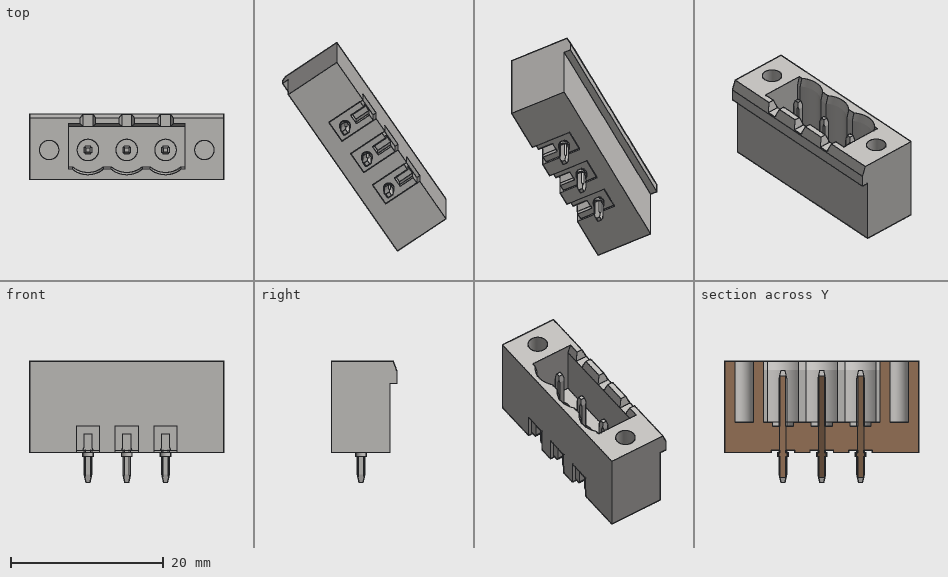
import cadquery as cq

LENGTH = 25.4
DEPTH = 7.7
HEIGHT = 12.0
PITCH = 5.08
PIN_COUNT = 3
PIN_Y = 3.89
CUT_MARGIN = 0.25

LIP_OVERHANG = 0.91
LIP_HEIGHT = 2.97
LIP_CHAMFER_Y = 0.5
LIP_CHAMFER_Z = 1.35

CAVITY_LENGTH = PIN_COUNT * PITCH
CAVITY_FLOOR_Z = 4.0
CAVITY_ENTRY_Y = 1.37
FRONT_FLARE_Y = 0.3
CAVITY_FRONT_Y = CAVITY_ENTRY_Y + FRONT_FLARE_Y
CAVITY_REAR_Y = 6.93
REAR_FLARE_Y = 0.4
FLARE_DEPTH = 1.2

SCALLOP_WIDTH = 4.06
SCALLOP_SAG = 0.74

NOTCH_TOP_WIDTH = 2.03
NOTCH_BOTTOM_WIDTH = 1.27
NOTCH_DEPTH = FLARE_DEPTH

FLOOR_RECESS_DIAMETER = 2.82
FLOOR_RECESS_DEPTH = 0.5

MOUNT_HOLE_DIAMETER = 2.55
MOUNT_HOLE_X = 2 * PITCH
MOUNT_HOLE_DEPTH = HEIGHT - CAVITY_FLOOR_Z

POCKET_WIDTH = 3.05
POCKET_HEIGHT = 3.45
POCKET_DEPTH = 0.48
RELIEF_HEIGHT = 0.3
RELIEF_BACK_Y = PIN_Y + POCKET_WIDTH / 2
SLOT_WIDTH = 1.07
SLOT_TOP_Z = 2.46
SLOT_BACK_Y = 2.55
SLOT_FLARE_WIDTH = 1.37
SLOT_FLARE_TOP_Z = 0.65

PIN_WIDTH = 1.02
PIN_CORNER_CHAMFER = 0.2
PIN_BOTTOM_Z = -3.9
PIN_TOP_Z = 10.72
PIN_TIP_WIDTH = 0.53
PIN_TAPER = 1.02
COLLAR_DIAMETER = 1.42
COLLAR_HEIGHT = 0.5

PIN_XS = [(i - (PIN_COUNT - 1) / 2) * PITCH for i in range(PIN_COUNT)]


def block(width, y_front, y_back, z_bottom, z_top, x):
    """Box between two Y and two Z levels, centred on x."""
    corner = cq.Workplane("XY", origin=(x, y_front, z_bottom))
    return corner.box(width, y_back - y_front, z_top - z_bottom, centered=(True, False, False))


def prism_along_x(yz_points, length):
    """Prism with a YZ outline, centred on X = 0."""
    return cq.Workplane("YZ").polyline(yz_points).close().extrude(length / 2, both=True)


def prism_along_y(xz_points, y_front, y_back):
    """Prism with an XZ outline between two Y positions."""
    plane = cq.Workplane("XZ", origin=(0, y_front, 0))
    return plane.polyline(xz_points).close().extrude(y_front - y_back)


def housing_body():
    lip_y = DEPTH + LIP_OVERHANG
    return prism_along_x(
        [
            (0, 0),
            (DEPTH, 0),
            (DEPTH, HEIGHT - LIP_HEIGHT),
            (lip_y, HEIGHT - LIP_HEIGHT),
            (lip_y, HEIGHT - LIP_CHAMFER_Z),
            (lip_y - LIP_CHAMFER_Y, HEIGHT),
            (0, HEIGHT),
        ],
        LENGTH,
    )


def cavity():
    """Main cavity, flared at its mouth along the front and rear walls."""
    return prism_along_x(
        [
            (CAVITY_ENTRY_Y, HEIGHT),
            (CAVITY_FRONT_Y, HEIGHT - FLARE_DEPTH),
            (CAVITY_FRONT_Y, CAVITY_FLOOR_Z),
            (CAVITY_REAR_Y, CAVITY_FLOOR_Z),
            (CAVITY_REAR_Y, HEIGHT - FLARE_DEPTH),
            (CAVITY_REAR_Y + REAR_FLARE_Y, HEIGHT),
        ],
        CAVITY_LENGTH,
    )


def scallop_outline(x, wall_y, z):
    """Circular segment standing off the front cavity wall at one level."""
    half_width = SCALLOP_WIDTH / 2
    chord = cq.Workplane("XY", origin=(x, wall_y, z)).moveTo(-half_width, 0)
    return chord.threePointArc((0, -SCALLOP_SAG), (half_width, 0)).close().val()


def scallop(x):
    """Arc hollow in the front wall: slanted through the mouth, then upright to the floor."""
    flare_z = HEIGHT - FLARE_DEPTH
    slant = cq.Vector(0, FRONT_FLARE_Y, -FLARE_DEPTH)
    drop = cq.Vector(0, 0, CAVITY_FLOOR_Z - flare_z)
    mouth = cq.Solid.extrudeLinear(scallop_outline(x, CAVITY_ENTRY_Y, HEIGHT), [], slant)
    shaft = cq.Solid.extrudeLinear(scallop_outline(x, CAVITY_FRONT_Y, flare_z), [], drop)
    return cq.Workplane(mouth).union(cq.Workplane(shaft))


def coding_notch(x):
    return prism_along_y(
        [
            (x - NOTCH_TOP_WIDTH / 2, HEIGHT),
            (x - NOTCH_BOTTOM_WIDTH / 2, HEIGHT - NOTCH_DEPTH),
            (x + NOTCH_BOTTOM_WIDTH / 2, HEIGHT - NOTCH_DEPTH),
            (x + NOTCH_TOP_WIDTH / 2, HEIGHT),
        ],
        CAVITY_REAR_Y,
        DEPTH + LIP_OVERHANG + CUT_MARGIN,
    )


def floor_recess(x):
    bottom = cq.Workplane("XY", origin=(x, PIN_Y, CAVITY_FLOOR_Z - FLOOR_RECESS_DEPTH))
    return bottom.circle(FLOOR_RECESS_DIAMETER / 2).extrude(FLOOR_RECESS_DEPTH)


def mounting_hole(x):
    bottom = cq.Workplane("XY", origin=(x, PIN_Y, HEIGHT - MOUNT_HOLE_DEPTH))
    return bottom.circle(MOUNT_HOLE_DIAMETER / 2).extrude(MOUNT_HOLE_DEPTH)


def foot_pocket(x):
    """Front pocket, relief under the pin and the blind slot with a flared foot."""
    pocket = block(POCKET_WIDTH, 0, POCKET_DEPTH, 0, POCKET_HEIGHT, x)
    relief = block(POCKET_WIDTH, 0, RELIEF_BACK_Y, 0, RELIEF_HEIGHT, x)
    half_slot = SLOT_WIDTH / 2
    half_flare = SLOT_FLARE_WIDTH / 2
    slot = prism_along_y(
        [
            (x - half_flare, RELIEF_HEIGHT),
            (x - half_slot, SLOT_FLARE_TOP_Z),
            (x - half_slot, SLOT_TOP_Z),
            (x + half_slot, SLOT_TOP_Z),
            (x + half_slot, SLOT_FLARE_TOP_Z),
            (x + half_flare, RELIEF_HEIGHT),
        ],
        0,
        SLOT_BACK_Y,
    )
    return pocket.union(relief).union(slot)


def square_frustum(x, z_bottom, height, bottom_width, top_width):
    """Square section on the pin axis, running straight between two widths."""
    bottom = cq.Workplane("XY", origin=(x, PIN_Y, z_bottom)).rect(bottom_width, bottom_width)
    return bottom.workplane(offset=height).rect(top_width, top_width).loft(ruled=True)


def pin_shank(x):
    """Square bar with chamfered corners, tapered to a blunt tip at both ends."""
    length = PIN_TOP_Z - PIN_BOTTOM_Z
    bar = cq.Workplane("XY", origin=(x, PIN_Y, PIN_BOTTOM_Z)).rect(PIN_WIDTH, PIN_WIDTH).extrude(length)
    bar = bar.edges("|Z").chamfer(PIN_CORNER_CHAMFER)

    lower_tip = square_frustum(x, PIN_BOTTOM_Z, PIN_TAPER, PIN_TIP_WIDTH, PIN_WIDTH)
    middle = square_frustum(x, PIN_BOTTOM_Z + PIN_TAPER, length - 2 * PIN_TAPER, PIN_WIDTH, PIN_WIDTH)
    upper_tip = square_frustum(x, PIN_TOP_Z - PIN_TAPER, PIN_TAPER, PIN_WIDTH, PIN_TIP_WIDTH)
    return bar.intersect(lower_tip.union(middle).union(upper_tip))


def make_pin(x):
    """Contact pin with the round collar just under the housing."""
    collar_base = cq.Workplane("XY", origin=(x, PIN_Y, -COLLAR_HEIGHT))
    collar = collar_base.circle(COLLAR_DIAMETER / 2).extrude(COLLAR_HEIGHT)
    return pin_shank(x).union(collar).solids()


def make_housing():
    housing = housing_body().cut(cavity())
    for x in PIN_XS:
        for tool in (scallop, coding_notch, floor_recess, foot_pocket, pin_shank):
            housing = housing.cut(tool(x))
    for x in (-MOUNT_HOLE_X, MOUNT_HOLE_X):
        housing = housing.cut(mounting_hole(x))
    return housing.solids()


housing = make_housing()
pins = [make_pin(x) for x in PIN_XS]

result = cq.Compound.makeCompound([housing.val(), *[pin.val() for pin in pins]])